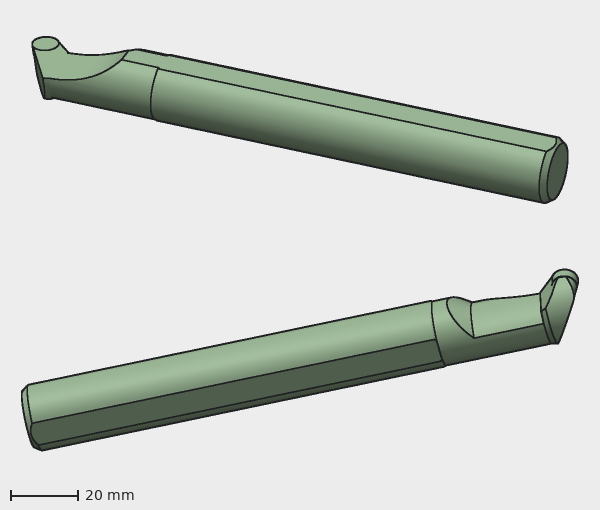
import cadquery as cq
import math

TOOL_LENGTH = 170.0
NECK_END = 44.5
HEAD_END = 12.2
HEAD_SHOULDER = 10.4
TOOL_SPAN = 2 * TOOL_LENGTH

SHANK_RADIUS = 10.0
FLAT_HEIGHT = 9.2
END_CHAMFER_LENGTH = 2.0
END_CHAMFER_DEPTH = 1.4
NECK_RADIUS = 9.78
STEP_LENGTH = 0.7

RELIEF_RADIUS = 13.3
RELIEF_EDGE_Y = 6.0
RELIEF_END = 33.5
RELIEF_RUNOUT = 13.6
RELIEF_RUNOUT_ANGLE = 31.0

HEAD_RADIUS = 11.4
HEAD_CENTER_Y = 1.28
HEAD_BOTTOM = -11.2
NOSE_RADIUS = 3.9
FLANK_ANGLE = 60.0
BACK_ANGLE = 45.0
CLEARANCE_ANGLE = 5.0
NOSE_DEPTH = 15.3

INSERT_RADIUS = 4.0
INSERT_THICKNESS = 3.0
INSERT_X = INSERT_RADIUS
INSERT_Y = 8.96
INSERT_TOP = 0.3

RAKE_SLOPE_X = 0.06
RAKE_SLOPE_Y = -0.04
RAMP_START = 9.5
RAMP_RADIUS = 33.0
RAMP_SWEEP = 60.0
CUTTER_REACH = 51.0

RAKE_ORIGIN = cq.Vector(INSERT_X, INSERT_Y, INSERT_TOP)
RAKE_X = cq.Vector(1, 0, RAKE_SLOPE_X).normalized()
RAKE_NORMAL = cq.Vector(-RAKE_SLOPE_X, -RAKE_SLOPE_Y, 1).normalized()
RAKE_PLANE = cq.Plane(RAKE_ORIGIN, RAKE_X, RAKE_NORMAL)
RAMP_PLANE = cq.Plane(RAKE_ORIGIN, RAKE_X, RAKE_X.cross(RAKE_NORMAL))


def polar(radius, angle):
    """Point at a radius and an angle in degrees."""
    return (radius * math.cos(math.radians(angle)), radius * math.sin(math.radians(angle)))


def make_shank():
    """Round bar with conical ends and two clamping flats."""
    chamfer_start = TOOL_LENGTH - END_CHAMFER_LENGTH
    bar = (
        cq.Workplane("XY")
        .moveTo(NECK_END, 0)
        .lineTo(NECK_END, NECK_RADIUS)
        .lineTo(NECK_END + STEP_LENGTH, SHANK_RADIUS)
        .lineTo(chamfer_start, SHANK_RADIUS)
        .lineTo(TOOL_LENGTH, SHANK_RADIUS - END_CHAMFER_DEPTH)
        .lineTo(TOOL_LENGTH, 0)
        .close()
        .revolve(360, (0, 0, 0), (1, 0, 0))
    )
    flats = cq.Workplane("XY").box(TOOL_SPAN, TOOL_SPAN, 2 * FLAT_HEIGHT)
    return bar.intersect(flats)


def make_neck():
    """Round neck flattened on top, with an eccentric relief running out in a cone."""
    neck = cq.Workplane("YZ", origin=(HEAD_END, 0, 0)).circle(NECK_RADIUS).extrude(NECK_END - HEAD_END)
    above_flat = cq.Workplane("XY", origin=(0, 0, FLAT_HEIGHT)).box(
        TOOL_SPAN, TOOL_SPAN, TOOL_SPAN, centered=(True, True, False)
    )
    axis_y = RELIEF_EDGE_Y - RELIEF_RADIUS
    runout_end = RELIEF_END + RELIEF_RUNOUT
    runout_rise = RELIEF_RUNOUT * math.tan(math.radians(RELIEF_RUNOUT_ANGLE))
    kept = (
        cq.Workplane("XY", origin=(0, axis_y, 0))
        .lineTo(0, RELIEF_RADIUS)
        .lineTo(RELIEF_END, RELIEF_RADIUS)
        .lineTo(runout_end, RELIEF_RADIUS + runout_rise)
        .lineTo(runout_end, 0)
        .close()
        .revolve(360, (0, 0, 0), (1, 0, 0))
    )
    return neck.cut(above_flat).intersect(kept)


def make_head():
    """Tapered nose block trimmed to a round envelope that narrows to the neck."""
    center_z = HEAD_BOTTOM + HEAD_RADIUS
    envelope = (
        cq.Workplane("YZ", origin=(-HEAD_END, HEAD_CENTER_Y, center_z))
        .circle(HEAD_RADIUS)
        .extrude(HEAD_END + HEAD_SHOULDER)
    )
    shoulder = (
        cq.Workplane("YZ", origin=(HEAD_SHOULDER, 0, 0))
        .center(HEAD_CENTER_Y, center_z)
        .circle(HEAD_RADIUS)
        .workplane(offset=HEAD_END - HEAD_SHOULDER)
        .center(-HEAD_CENTER_Y, -center_z)
        .circle(NECK_RADIUS)
        .loft(ruled=True)
    )

    flank_start = polar(NOSE_RADIUS, -90 - FLANK_ANGLE)
    back_start = polar(NOSE_RADIUS, 90 - BACK_ANGLE)
    nose_tip = polar(NOSE_RADIUS, (180 - FLANK_ANGLE - BACK_ANGLE) / 2 + FLANK_ANGLE)
    side_length = 3 * HEAD_RADIUS
    flank_run = polar(side_length, -FLANK_ANGLE)
    back_run = polar(side_length, -BACK_ANGLE)
    nose = (
        cq.Workplane(RAKE_PLANE)
        .moveTo(*flank_start)
        .threePointArc(nose_tip, back_start)
        .line(*back_run)
        .lineTo(flank_start[0] + flank_run[0], flank_start[1] + flank_run[1])
        .close()
        .extrude(-NOSE_DEPTH, taper=CLEARANCE_ANGLE)
    )
    return nose.intersect(envelope.union(shoulder))


def make_ramp_cutter():
    """Space above the chip face and its curved ramp."""
    arc_mid = polar(RAMP_RADIUS, RAMP_SWEEP / 2 - 90)
    arc_end = polar(RAMP_RADIUS, RAMP_SWEEP - 90)
    top = RAMP_RADIUS + arc_end[1]
    return (
        cq.Workplane(RAMP_PLANE)
        .moveTo(-CUTTER_REACH, 0)
        .lineTo(RAMP_START, 0)
        .threePointArc(
            (RAMP_START + arc_mid[0], RAMP_RADIUS + arc_mid[1]),
            (RAMP_START + arc_end[0], top),
        )
        .lineTo(-CUTTER_REACH, top)
        .close()
        .extrude(CUTTER_REACH, both=True)
    )


def make_insert():
    """Round conical cutting insert, flush with the chip face."""
    return (
        cq.Workplane(RAKE_PLANE)
        .circle(INSERT_RADIUS)
        .extrude(-INSERT_THICKNESS, taper=CLEARANCE_ANGLE)
    )


insert = make_insert()
neck_and_head = make_neck().union(make_head()).cut(make_ramp_cutter())
holder = make_shank().union(neck_and_head).cut(insert)

result = cq.Compound.makeCompound([holder.val(), insert.val()])